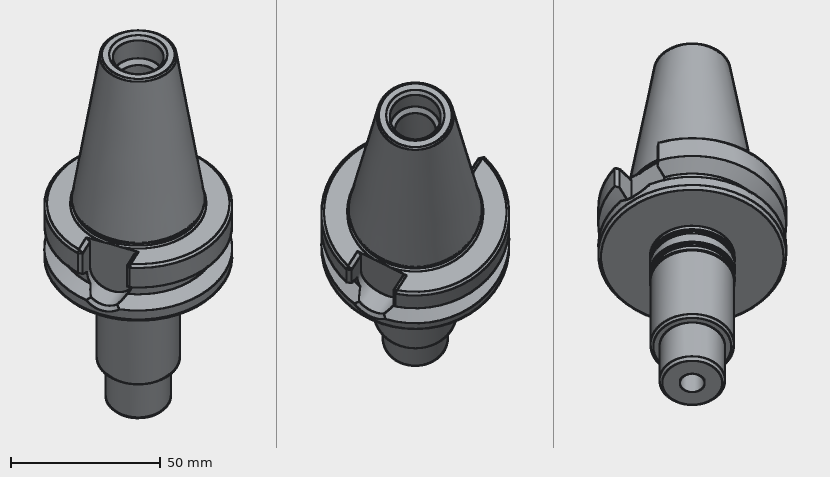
import cadquery as cq

total_height = 154.9

pilot_radius = 11.0
pilot_chamfer_width = 1.0
pilot_chamfer_height = 1.2
shank_bottom = 18.0
shank_radius = 28.0 / 2
collar_bottom = 50.7
collar_radius = 28.5 / 2
shank_chamfer = 1.0

ring_groove_depth = 0.5
ring_groove_height = 2.0
ring_groove_bottoms = [52.5, 58.7]

flange_bottom = 62.5
flange_top = 88.0
flange_radius = 63.0 / 2
flange_top_chamfer = 1.0
flange_bottom_chamfer_width = 1.0
flange_bottom_chamfer_height = 1.4
gripper_radius = 26.5
gripper_floor_bottom = 70.6
gripper_floor_top = 75.0
gripper_lower_edge = 67.8
gripper_upper_edge = 78.2

taper_bottom = 89.8
taper_radius = 22.3
taper_rate = 7 / 24
taper_top_chamfer = 0.6
relief_radius = 43.8 / 2
relief_foot_width = 1.0
relief_foot_height = 0.5

slot_width = 16.1
slot_floor = 22.6
slot_arc_center = 75.1
slot_chamfer = 1.4

bore_mouth_radius = 9.8
pilot_bore_radius = 17.0 / 2
pilot_bore_depth = 9.3
thread_bore_radius = 13.8 / 2
thread_bore_depth = 30.0
through_radius = 8.4 / 2


def revolve_profile(points):
    """Turn a closed (radius, height) outline about the Z axis."""
    return cq.Workplane("XZ").polyline(points).close().revolve(360, (0, 0, 0), (0, 1, 0))


def make_body():
    collar_step = collar_radius - shank_radius
    taper_top_radius = taper_radius - (total_height - taper_bottom) * taper_rate / 2
    chamfer_bottom_radius = taper_top_radius + taper_top_chamfer * taper_rate / 2
    return revolve_profile([
        (0, 0),
        (pilot_radius - pilot_chamfer_width, 0),
        (pilot_radius, pilot_chamfer_height),
        (pilot_radius, shank_bottom),
        (shank_radius - shank_chamfer, shank_bottom),
        (shank_radius, shank_bottom + shank_chamfer),
        (shank_radius, collar_bottom - collar_step),
        (collar_radius, collar_bottom),
        (collar_radius, flange_bottom),
        (flange_radius - flange_bottom_chamfer_width, flange_bottom),
        (flange_radius, flange_bottom + flange_bottom_chamfer_height),
        (flange_radius, gripper_lower_edge),
        (gripper_radius, gripper_floor_bottom),
        (gripper_radius, gripper_floor_top),
        (flange_radius, gripper_upper_edge),
        (flange_radius, flange_top - flange_top_chamfer),
        (flange_radius - flange_top_chamfer, flange_top),
        (relief_radius + relief_foot_width, flange_top),
        (relief_radius, flange_top + relief_foot_height),
        (relief_radius, taper_bottom),
        (taper_radius, taper_bottom),
        (chamfer_bottom_radius, total_height - taper_top_chamfer),
        (taper_top_radius - taper_top_chamfer, total_height),
        (0, total_height),
    ])


def make_ring_groove(lower):
    """Ring with sloped flanks that cuts one shallow groove into the collar."""
    upper = lower + ring_groove_height
    floor_radius = collar_radius - ring_groove_depth
    return revolve_profile([
        (collar_radius, lower),
        (floor_radius, lower + ring_groove_depth),
        (floor_radius, upper - ring_groove_depth),
        (collar_radius, upper),
    ])


def make_slot(side):
    """Round-bottomed drive slot, open upwards and outwards; side is -1 or +1 along Y."""
    half_width = slot_width / 2
    return (
        cq.Workplane("XZ", origin=(0, side * slot_floor, 0))
        .moveTo(-half_width, taper_bottom)
        .lineTo(-half_width, slot_arc_center)
        .threePointArc((0, slot_arc_center - half_width), (half_width, slot_arc_center))
        .lineTo(half_width, taper_bottom)
        .close()
        .extrude(-side * flange_radius)
    )


def box_between(corner, opposite):
    """Selector for the edges whose bounding boxes lie inside the given box."""
    return cq.selectors.BoxSelector(corner, opposite, True)


def chamfer_slots(body):
    """Break the slot edges on the top face and on the outer cylinder of the flange."""
    margin = 0.2
    rim_depth = 1.5
    half_width = slot_width / 2
    inner_y = slot_floor - margin
    outer_y = flange_radius + margin
    for side in (-1, 1):
        rim_arc = box_between(
            (-half_width, side * (flange_radius - rim_depth), flange_bottom),
            (half_width, side * outer_y, gripper_lower_edge + margin))
        body = body.edges(rim_arc).chamfer(slot_chamfer)
        for wall in (-half_width, half_width):
            wall_edges = box_between(
                (wall - margin, side * inner_y, gripper_upper_edge - margin),
                (wall + margin, side * outer_y, flange_top + margin))
            body = body.edges(wall_edges).chamfer(slot_chamfer)
    return body


def make_bore():
    mouth_depth = bore_mouth_radius - pilot_bore_radius
    countersink_height = pilot_bore_radius - thread_bore_radius
    tip_height = thread_bore_radius - through_radius
    thread_end = total_height - thread_bore_depth
    shoulder = total_height - pilot_bore_depth
    return revolve_profile([
        (0, 0),
        (through_radius, 0),
        (through_radius, thread_end - tip_height),
        (thread_bore_radius, thread_end),
        (thread_bore_radius, shoulder - countersink_height),
        (pilot_bore_radius, shoulder),
        (pilot_bore_radius, total_height - mouth_depth),
        (bore_mouth_radius, total_height),
        (0, total_height),
    ])


body = make_body()
for lower in ring_groove_bottoms:
    body = body.cut(make_ring_groove(lower))
for side in (-1, 1):
    body = body.cut(make_slot(side))
body = chamfer_slots(body)
result = body.cut(make_bore())